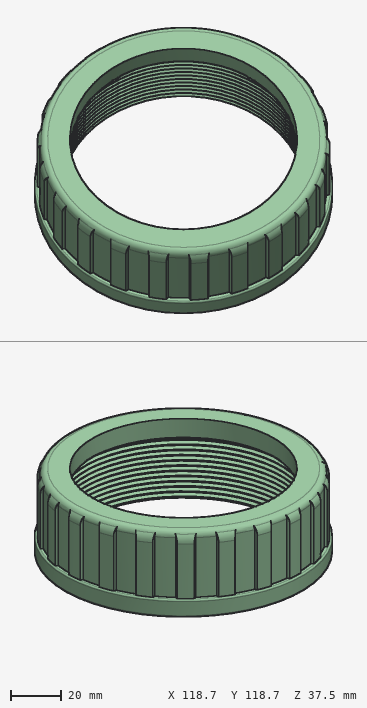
import cadquery as cq
import math

height = 37.5
flange_radius = 118.7 / 2
flange_height = 8.0
flange_bottom_fillet = 1.0
flange_top_fillet = 0.75

grip_radius = 57.2
grip_top_fillet = 3.0

rib_count = 22
rib_radius = 58.3
rib_foot_width = 7.75
rib_crest_width = 6.7
rib_straight_top = 32.2
rib_top = 35.9
first_rib_angle = -90.0

lip_radius = 90.5 / 2
thread_crest_radius = 97.37 / 2
thread_root_radius = 100.33 / 2
thread_pitch = 25.4 / 11
thread_groove_count = 12
crest_flat = 0.25
lead_in_chamfer = thread_root_radius - thread_crest_radius
lip_bottom = lead_in_chamfer + thread_groove_count * thread_pitch

overlap = 0.5


def make_body():
    """Flange and grip section as one solid of revolution, before the bore is cut."""
    flange = (
        cq.Workplane("XY")
        .circle(flange_radius)
        .extrude(flange_height)
        .faces("<Z").edges().fillet(flange_bottom_fillet)
        .faces(">Z").edges().fillet(flange_top_fillet)
    )
    grip = (
        cq.Workplane("XY")
        .circle(grip_radius)
        .extrude(height)
        .faces(">Z").edges().fillet(grip_top_fillet)
    )
    return flange.union(grip)


def grip_surface_radius(z):
    """Outer radius of the grip section at a height within its top fillet."""
    rise = z - (height - grip_top_fillet)
    return grip_radius - grip_top_fillet + math.sqrt(grip_top_fillet**2 - rise**2)


def make_rib_envelope():
    """Solid of revolution that shapes the rib crests and their rounded upper ends."""
    end_radius = grip_surface_radius(rib_top)
    drop = rib_radius - end_radius
    rise = rib_top - rib_straight_top
    arc_radius = (rise**2 + drop**2) / (2 * drop)
    half_sweep = math.asin(rise / arc_radius) / 2
    arc_mid = (
        rib_radius - arc_radius * (1 - math.cos(half_sweep)),
        rib_straight_top + arc_radius * math.sin(half_sweep),
    )
    base = flange_height - overlap
    core_radius = grip_radius - grip_top_fillet
    return (
        cq.Workplane("XZ")
        .moveTo(core_radius, base)
        .lineTo(rib_radius, base)
        .lineTo(rib_radius, rib_straight_top)
        .threePointArc(arc_mid, (end_radius, rib_top))
        .lineTo(core_radius, rib_top)
        .close()
        .revolve(360, (0, 0, 0), (0, 1, 0))
    )


def make_ribs():
    """List of evenly spaced rib solids with sloping flanks, trimmed to the rib envelope."""
    flank_slope = (rib_foot_width - rib_crest_width) / 2 / (rib_radius - grip_radius)
    inner_radius = grip_radius - grip_top_fillet
    outer_radius = rib_radius + overlap

    def half_width(radius):
        return rib_crest_width / 2 + (rib_radius - radius) * flank_slope

    blank = (
        cq.Workplane("XY", origin=(0, 0, flange_height - overlap))
        .polyline([
            (inner_radius, -half_width(inner_radius)),
            (outer_radius, -half_width(outer_radius)),
            (outer_radius, half_width(outer_radius)),
            (inner_radius, half_width(inner_radius)),
        ])
        .close()
        .extrude(height - flange_height)
    )
    rib = blank.intersect(make_rib_envelope()).val()
    ribs = []
    for index in range(rib_count):
        angle = first_rib_angle + index * 360 / rib_count
        ribs.append(rib.rotate((0, 0, 0), (0, 0, 1), angle))
    return ribs


def make_bore():
    """Cutter for the lip opening, the grooved thread and the 45 degree lead-in."""
    profile = (
        cq.Workplane("XZ")
        .moveTo(0, -overlap)
        .lineTo(thread_root_radius + overlap, -overlap)
        .lineTo(thread_crest_radius, lead_in_chamfer)
    )
    for index in range(thread_groove_count):
        start = lead_in_chamfer + index * thread_pitch
        end = start + thread_pitch
        profile = (
            profile
            .lineTo(thread_root_radius, (start + end - crest_flat) / 2)
            .lineTo(thread_crest_radius, end - crest_flat)
            .lineTo(thread_crest_radius, end)
        )
    return (
        profile
        .lineTo(lip_radius, lip_bottom)
        .lineTo(lip_radius, height + overlap)
        .lineTo(0, height + overlap)
        .close()
        .revolve(360, (0, 0, 0), (0, 1, 0))
    )


result = make_body()
for rib in make_ribs():
    result = result.union(cq.Workplane(rib))
result = result.cut(make_bore())